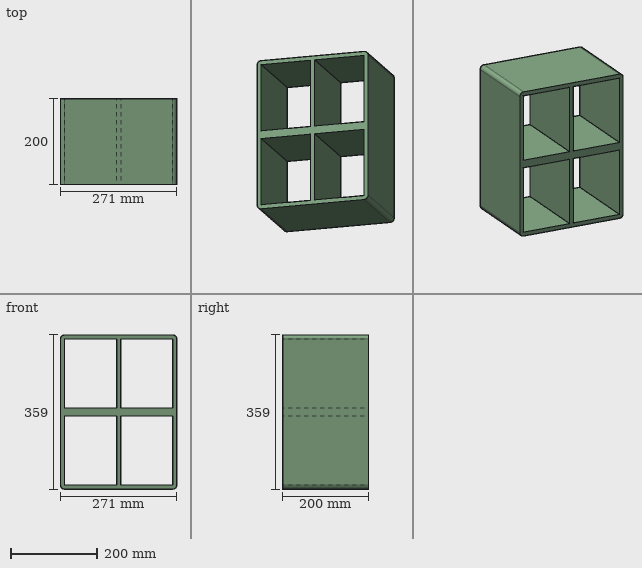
import cadquery as cq

width = 271.0
depth = 200.0
height = 359.0

wall = 10.0
shelf = 19.0
corner_radius = 10.0

columns = 2
rows = 2
opening_width = (width - 2 * wall - (columns - 1) * wall) / columns
opening_height = (height - 2 * wall - (rows - 1) * shelf) / rows


def make_body():
    """Solid block with its four front-to-back edges rounded."""
    return cq.Workplane("XY").box(width, depth, height).edges("|Y").fillet(corner_radius)


def cut_openings(body):
    """Cut the grid of rectangular compartments through the full depth."""
    return (
        body.faces("<Y")
        .workplane(origin=(0, 0, 0))
        .rarray(opening_width + wall, opening_height + shelf, columns, rows)
        .rect(opening_width, opening_height)
        .cutThruAll()
    )


result = cut_openings(make_body())